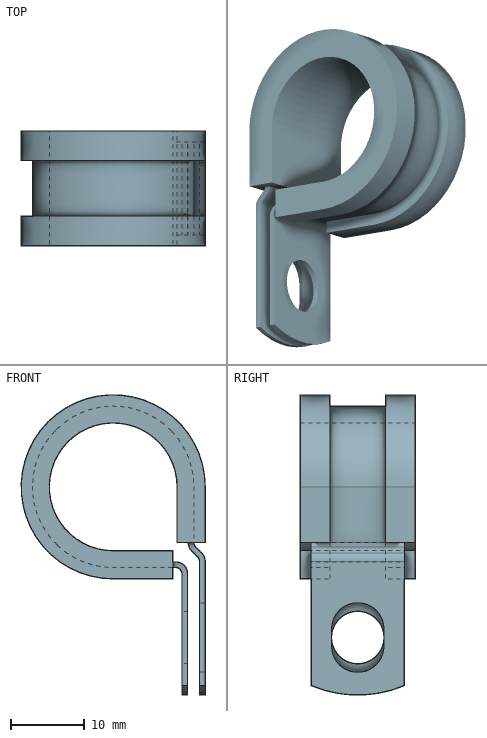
import cadquery as cq
import math


outer_radius = 12.595
bore_radius = 8.72
cushion_width = 15.75
side_leg_end_z = -7.62
bottom_leg_end_x = 8.15

groove_depth = 1.55
groove_width = 7.6
groove_radius = outer_radius - groove_depth

strap_thickness = 0.8
tab_width = 12.75
bend_inner_radius = 0.85
bend_outer_radius = bend_inner_radius + strap_thickness
strap_inner_radius = groove_radius - strap_thickness
tab_bottom_z = -28.485
tab_corner_rise = 1.3
inner_tab_face_x = 9.38
hole_diameter = 7.15
outer_slot_length = 9.5
hole_z = -20.6

joggle_angle = math.radians(45)
joggle_shift = groove_depth

diagonal = math.sqrt(0.5)


def centred_sketch_plane(width):
    """XZ sketch plane from which extruding by width gives a body centred on Y = 0."""
    return cq.Workplane("XZ", origin=(0, width / 2, 0))


def loop_prism(radius, width):
    """Round loop with a square lower +X corner, centred on the XZ plane."""
    return (
        centred_sketch_plane(width)
        .moveTo(0, -radius)
        .threePointArc((-radius * diagonal, radius * diagonal), (radius, 0))
        .lineTo(radius, -radius)
        .close()
        .extrude(width)
    )


def make_cushion():
    body = loop_prism(outer_radius, cushion_width)
    groove_floor = loop_prism(groove_radius, groove_width)
    groove_ring = loop_prism(outer_radius + groove_depth, groove_width).cut(groove_floor)
    body = body.cut(groove_ring).cut(loop_prism(bore_radius, cushion_width))

    beside_bottom_leg = (
        cq.Workplane("XY")
        .box(outer_radius, cushion_width, outer_radius, centered=(False, True, False))
        .translate((bottom_leg_end_x, 0, side_leg_end_z - outer_radius))
    )
    return body.cut(beside_bottom_leg)


def make_inner_tab():
    """Strap leaving the horizontal leg and bending down."""
    bend_x = inner_tab_face_x - bend_inner_radius
    bend_z = -groove_radius - bend_inner_radius
    outer_mid = (bend_x + bend_outer_radius * diagonal, bend_z + bend_outer_radius * diagonal)
    inner_mid = (bend_x + bend_inner_radius * diagonal, bend_z + bend_inner_radius * diagonal)
    return (
        centred_sketch_plane(tab_width)
        .moveTo(bottom_leg_end_x, -strap_inner_radius)
        .lineTo(bend_x, -strap_inner_radius)
        .threePointArc(outer_mid, (bend_x + bend_outer_radius, bend_z))
        .lineTo(bend_x + bend_outer_radius, tab_bottom_z)
        .lineTo(inner_tab_face_x, tab_bottom_z)
        .lineTo(inner_tab_face_x, bend_z)
        .threePointArc(inner_mid, (bend_x, -groove_radius))
        .lineTo(bottom_leg_end_x, -groove_radius)
        .close()
        .extrude(tab_width)
    )


def make_outer_tab():
    """Strap leaving the vertical leg, joggling outward and running down."""
    bends_radius_sum = bend_inner_radius + bend_outer_radius
    slope_shift = joggle_shift - bends_radius_sum * (1 - math.cos(joggle_angle))
    joggle_height = bends_radius_sum * math.sin(joggle_angle) + slope_shift / math.tan(joggle_angle)
    joggle_end_z = side_leg_end_z - joggle_height
    upper_center_x = groove_radius + bend_inner_radius
    lower_center_x = outer_radius - bend_outer_radius

    def upper_point(radius, angle):
        return (upper_center_x - radius * math.cos(angle), side_leg_end_z - radius * math.sin(angle))

    def lower_point(radius, angle):
        return (lower_center_x + radius * math.cos(angle), joggle_end_z + radius * math.sin(angle))

    mid, end = joggle_angle / 2, joggle_angle
    inner, outer = bend_inner_radius, bend_outer_radius
    return (
        centred_sketch_plane(tab_width)
        .moveTo(*upper_point(inner, 0))
        .threePointArc(upper_point(inner, mid), upper_point(inner, end))
        .lineTo(*lower_point(outer, end))
        .threePointArc(lower_point(outer, mid), lower_point(outer, 0))
        .lineTo(outer_radius, tab_bottom_z)
        .lineTo(outer_radius - strap_thickness, tab_bottom_z)
        .lineTo(*lower_point(inner, 0))
        .threePointArc(lower_point(inner, mid), lower_point(inner, end))
        .lineTo(*upper_point(outer, end))
        .threePointArc(upper_point(outer, mid), upper_point(outer, 0))
        .close()
        .extrude(tab_width)
    )


def make_tab_profile():
    """Tab outline with its rounded tip, extruded along +X past both tabs."""
    half_width = tab_width / 2
    corner_z = tab_bottom_z + tab_corner_rise
    return (
        cq.Workplane("YZ")
        .moveTo(-half_width, 0)
        .lineTo(-half_width, corner_z)
        .threePointArc((0, tab_bottom_z), (half_width, corner_z))
        .lineTo(half_width, 0)
        .close()
        .extrude(2 * outer_radius)
    )


def make_round_hole():
    return cq.Workplane("YZ").center(0, hole_z).circle(hole_diameter / 2).extrude(2 * outer_radius)


def make_vertical_slot():
    return (
        cq.Workplane("YZ")
        .center(0, hole_z)
        .slot2D(outer_slot_length, hole_diameter, 90)
        .extrude(2 * outer_radius)
    )


inner_tab = make_inner_tab().intersect(make_tab_profile()).cut(make_round_hole())
outer_tab = make_outer_tab().intersect(make_tab_profile()).cut(make_vertical_slot())
result = make_cushion().union(inner_tab).union(outer_tab)